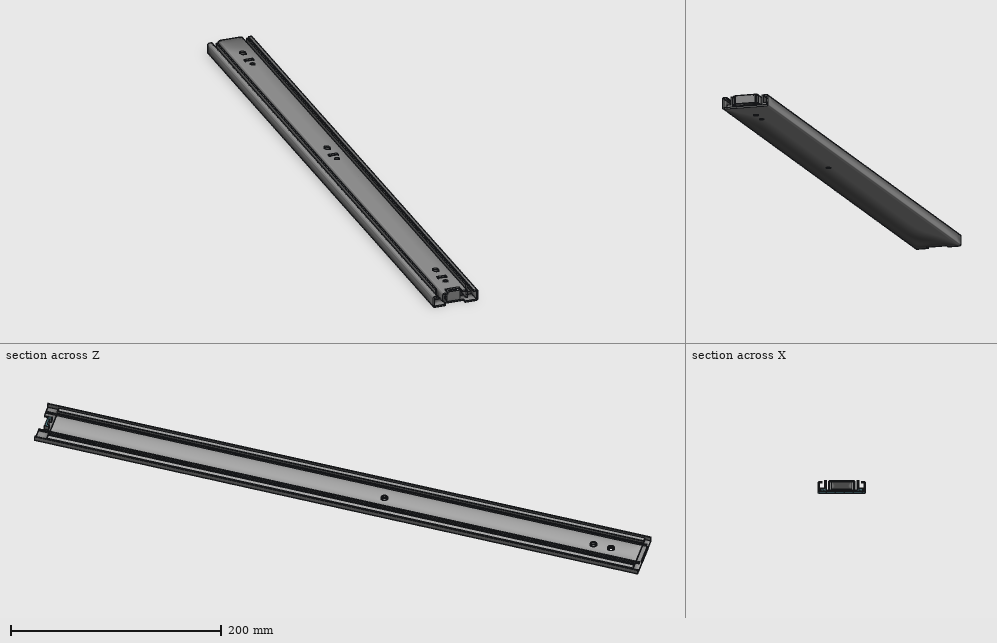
import cadquery as cq


SHEET = 1.5

OUTER_START = -299.0
OUTER_END = 300.0
OUTER_HALF_WIDTH = 23.0
OUTER_HEIGHT = 11.5
OUTER_BEND = 2.0
LIP_REACH = 4.0
FLOOR_NOTCH_START = 295.5
FLOOR_NOTCH_WIDTH = 20.0

MIDDLE_START = -293.5
MIDDLE_END = 289.0
MIDDLE_BOTTOM = 2.1
BASE_TOP = 3.5
FOOT_TOP = 5.1
FOOT_HALF_WIDTH = 20.1
WALL_OUTER_Y = 16.0
WALL_INNER_Y = WALL_OUTER_Y - SHEET

TAB_FRONT = -300.0
TAB_BEND = 2.1
TAB_WIDTH = 20.0
TAB_THICKNESS = SHEET
TAB_DEPTH = 2.5
INNER_START = TAB_FRONT + TAB_DEPTH
INNER_END = 299.0
INNER_HALF_WIDTH = 12.5
INNER_TOP = 12.5
INNER_BOTTOM = 4.0
INNER_BEND = 2.0
END_NOTCH_START = 290.5
END_NOTCH_WIDTH = 14.5

SLOT_CENTERS = [-265.0, -41.0, 248.0]
SLOT_LENGTH = 8.5
SLOT_WIDTH = 5.5
CROSS_SLOT_OFFSET = 16.0
CROSS_SLOT_LENGTH = 9.0
CROSS_SLOT_WIDTH = 4.25
SCREW_OFFSET = 26.0
SCREW_DIAMETER = 4.9
FLOOR_HOLES = [
    (-266.0, 4.9),
    (SLOT_CENTERS[0] + CROSS_SLOT_OFFSET, 4.25),
    (SLOT_CENTERS[1], 4.5),
]
CLEARANCE_HOLE_DIAMETER = 6.5

STOP_START = 291.0
STOP_WIDTH = 13.0
STOP_TOP = 11.5
STOP_WAIST_DEPTH = 2.0
STOP_WAIST_WIDTH = 7.0


def mirrored_profile(half_points, start, end):
    """Extrude along X the closed outline made of half_points (Y, Z) and their mirror in Y."""
    other_half = [(-y, z) for y, z in reversed(half_points)]
    outline = cq.Workplane("YZ", origin=(start, 0, 0)).polyline(half_points + other_half).close()
    return outline.extrude(end - start)


def box_between(x_range, width, z_range):
    """Box centred on Y, given by its X range, Y width and Z range."""
    length = x_range[1] - x_range[0]
    height = z_range[1] - z_range[0]
    corner = cq.Workplane("XY", origin=(x_range[0], -width / 2, z_range[0]))
    return corner.box(length, width, height, centered=False)


def drill(rail, x, diameter):
    """Cut a vertical through hole on the centre line of the rail."""
    return rail.cut(cq.Workplane("XY", origin=(x, 0, 0)).circle(diameter / 2).extrude(INNER_TOP))


def make_outer_rail():
    lip_edge = OUTER_HALF_WIDTH - LIP_REACH
    wall_inside = OUTER_HALF_WIDTH - SHEET
    rail = mirrored_profile(
        [
            (OUTER_HALF_WIDTH, 0),
            (OUTER_HALF_WIDTH, OUTER_HEIGHT),
            (lip_edge, OUTER_HEIGHT),
            (lip_edge, OUTER_HEIGHT - SHEET),
            (wall_inside, OUTER_HEIGHT - SHEET),
            (wall_inside, SHEET),
        ],
        OUTER_START,
        OUTER_END,
    )
    rail = rail.edges("|X and (<Y or >Y)").fillet(OUTER_BEND)
    notch = box_between((FLOOR_NOTCH_START, OUTER_END), FLOOR_NOTCH_WIDTH, (0, SHEET))
    rail = rail.cut(notch)
    for x, diameter in FLOOR_HOLES:
        rail = drill(rail, x, diameter)
    return rail


def make_middle_rail():
    rail = mirrored_profile(
        [
            (FOOT_HALF_WIDTH, MIDDLE_BOTTOM),
            (FOOT_HALF_WIDTH, FOOT_TOP),
            (WALL_OUTER_Y, FOOT_TOP),
            (WALL_OUTER_Y, INNER_TOP),
            (WALL_INNER_Y, INNER_TOP),
            (WALL_INNER_Y, BASE_TOP),
        ],
        MIDDLE_START,
        MIDDLE_END,
    )
    for x, _ in FLOOR_HOLES:
        rail = drill(rail, x, CLEARANCE_HOLE_DIAMETER)
    return rail


def cut_hole_group(rail, slot_center):
    """Cut a lengthwise slot, a crosswise slot and a screw hole through the web."""
    web = cq.Workplane("XY", origin=(slot_center, 0, INNER_BOTTOM))
    slot = web.slot2D(SLOT_LENGTH, SLOT_WIDTH).extrude(INNER_TOP)
    cross_slot = web.center(CROSS_SLOT_OFFSET, 0).rect(CROSS_SLOT_WIDTH, CROSS_SLOT_LENGTH).extrude(INNER_TOP)
    return drill(rail.cut(slot).cut(cross_slot), slot_center + SCREW_OFFSET, SCREW_DIAMETER)


def make_front_tab():
    """Web end bent down through a rounded corner to close the front of the inner rail."""
    tab = box_between((TAB_FRONT, INNER_START), TAB_WIDTH, (INNER_BOTTOM, INNER_TOP))
    tab = tab.edges("<X and >Z").fillet(TAB_BEND)
    behind_tab = box_between(
        (TAB_FRONT + TAB_THICKNESS, INNER_START), TAB_WIDTH, (INNER_BOTTOM, INNER_TOP - SHEET)
    )
    return tab.cut(behind_tab)


def make_inner_rail():
    rail = box_between((INNER_START, INNER_END), 2 * INNER_HALF_WIDTH, (INNER_BOTTOM, INNER_TOP))
    rail = rail.edges("|X and >Z").fillet(INNER_BEND)
    hollow = box_between(
        (INNER_START, INNER_END), 2 * (INNER_HALF_WIDTH - SHEET), (INNER_BOTTOM, INNER_TOP - SHEET)
    )
    rail = rail.cut(hollow).union(make_front_tab())
    rail = rail.cut(box_between((END_NOTCH_START, INNER_END), END_NOTCH_WIDTH, (INNER_BOTTOM, INNER_TOP)))
    for slot_center in SLOT_CENTERS:
        rail = cut_hole_group(rail, slot_center)
    return rail


def make_rear_stop():
    """Block on the outer floor, inside the notch of the inner rail, with a waist at its front."""
    stop = box_between((STOP_START, FLOOR_NOTCH_START), STOP_WIDTH, (SHEET, STOP_TOP))
    waist = box_between((STOP_START, STOP_START + STOP_WAIST_DEPTH), STOP_WAIST_WIDTH, (SHEET, STOP_TOP))
    return stop.cut(waist)


outer_rail = make_outer_rail()
middle_rail = make_middle_rail()
inner_rail = make_inner_rail()
rear_stop = make_rear_stop()

result = cq.Compound.makeCompound(
    [outer_rail.val(), middle_rail.val(), inner_rail.val(), rear_stop.val()]
)